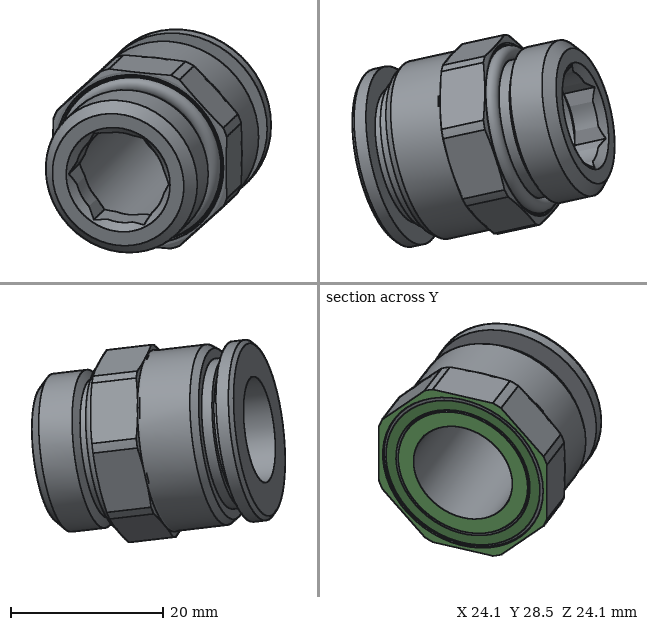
import cadquery as cq
import math

length = 28.5

thread_radius = 10.5
thread_tip_radius = 9.1
thread_tip_chamfer = thread_radius - thread_tip_radius
thread_end = 5.98
neck_radius = 9.25
neck_start = 6.7

octagon_start = 9.0
octagon_end = 15.48
octagon_sides = 8
flat_apothem = 12.0
corner_radius = 12.75
collar_diameter = 24.08
collar_radius = collar_diameter / 2
octagon_chamfer_angle = 15.0
octagon_chamfer = (corner_radius - collar_radius) * math.tan(math.radians(octagon_chamfer_angle))

ring_section_radius = 1.0
ring_centre_radius = neck_radius + ring_section_radius
ring_offset = 0.17
ring_centre = octagon_start - ring_offset
recess_floor = ring_centre + ring_section_radius
recess_radius = 11.4
recess_chamfer_width = 0.23
recess_chamfer_depth = 0.15

housing_radius = 11.97
housing_start = 15.73
housing_end = 23.65
housing_chamfer_length = 1.0
housing_rim_radius = 11.31
sleeve_radius = 9.98
sleeve_end = 25.08

flange_neck_radius = 9.12
flange_radius = housing_radius
flange_start = 26.25
flange_chamfer = 0.55

hexagon_sides = 6
hexagon_apothem = 5.98
hexagon_corner_radius = hexagon_apothem / math.cos(math.radians(180 / hexagon_sides))
hexagon_depth = 4.85
relief_radius = 6.2
mouth_radius = 7.18
mouth_depth = mouth_radius - relief_radius
tube_bore_radius = 7.0
bore_floor_angle = 30.0
bore_floor_depth = (tube_bore_radius - relief_radius) * math.tan(math.radians(bore_floor_angle))


def turned(profile):
    """Revolve a closed (radius, Y) outline about the Y axis."""
    return cq.Workplane("XY").polyline(profile).close().revolve(360, (0, 0, 0), (0, 1, 0))


def prism(sides, circumradius, start, end, turn):
    """Regular prism along Y, turned about the Y axis by an angle in degrees."""
    outline = cq.Workplane("XZ", origin=(0, start, 0)).polygon(sides, 2 * circumradius)
    return outline.extrude(start - end).rotate((0, 0, 0), (0, 1, 0), turn)


def turned_outside():
    return turned([
        (0, 0),
        (thread_tip_radius, 0),
        (thread_radius, thread_tip_chamfer),
        (thread_radius, thread_end),
        (neck_radius, neck_start),
        (neck_radius, octagon_end),
        (collar_radius, octagon_end),
        (housing_radius, housing_start),
        (housing_radius, housing_end - housing_chamfer_length),
        (housing_rim_radius, housing_end),
        (sleeve_radius, housing_end),
        (sleeve_radius, sleeve_end),
        (flange_neck_radius, sleeve_end),
        (flange_neck_radius, flange_start),
        (flange_radius, flange_start),
        (flange_radius, length - flange_chamfer),
        (flange_radius - flange_chamfer, length),
        (0, length),
    ])


def octagon_section():
    """Octagon with turned corners, chamfered at both ends and recessed for the O-ring."""
    half_side_angle = 180 / octagon_sides
    circumradius = flat_apothem / math.cos(math.radians(half_side_angle))
    octagon = prism(octagon_sides, circumradius, octagon_start, octagon_end, half_side_angle)
    corner_limit = turned([
        (0, octagon_start),
        (collar_radius, octagon_start),
        (corner_radius, octagon_start + octagon_chamfer),
        (corner_radius, octagon_end - octagon_chamfer),
        (collar_radius, octagon_end),
        (0, octagon_end),
    ])
    recess = turned([
        (neck_radius, octagon_start),
        (recess_radius + recess_chamfer_width, octagon_start),
        (recess_radius, octagon_start + recess_chamfer_depth),
        (recess_radius, recess_floor),
        (neck_radius, recess_floor),
    ])
    return octagon.intersect(corner_limit).cut(recess)


def passage():
    """Conical mouth, wrench hexagon with a round relief, and the tube bore with its conical floor."""
    round_passage = turned([
        (0, 0),
        (mouth_radius, 0),
        (relief_radius, mouth_depth),
        (relief_radius, hexagon_depth - bore_floor_depth),
        (tube_bore_radius, hexagon_depth),
        (tube_bore_radius, length),
        (0, length),
    ])
    hexagon = prism(hexagon_sides, hexagon_corner_radius, 0, hexagon_depth, 0)
    return round_passage.union(hexagon)


def fitting_body():
    return turned_outside().union(octagon_section()).cut(passage())


def o_ring():
    centre = cq.Vector(0, ring_centre, 0)
    return cq.Solid.makeTorus(ring_centre_radius, ring_section_radius, centre, cq.Vector(0, 1, 0))


body = fitting_body()
seal = o_ring()

result = cq.Compound.makeCompound([body.solids().val(), seal])